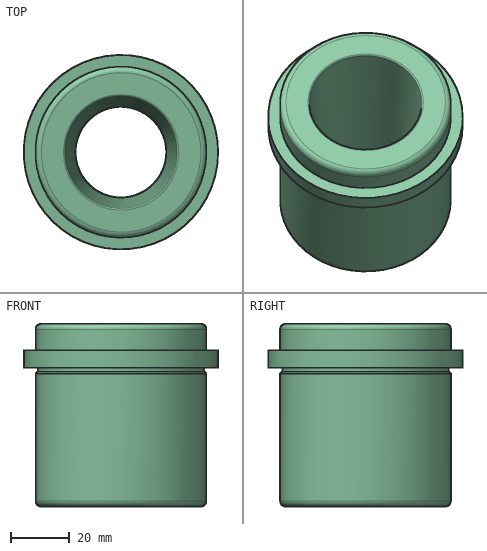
import cadquery as cq

flange_diameter = 66.0
body_diameter = 58.0
height = 62.0
edge_radius = 2.0

flange_thickness = 6.0
collar_height = 9.0

groove_depth = 0.7
groove_width = 1.25
groove_chamfer = 0.7

mouth_diameter = 38.15
throat_diameter = 30.7
mouth_radius = 0.5

flange_top = height - collar_height
flange_bottom = flange_top - flange_thickness
groove_bottom = flange_bottom - groove_width


def cylinder(diameter, bottom, top):
    """Upright cylinder on the Z axis between two heights."""
    return cq.Workplane("XY").workplane(offset=bottom).circle(diameter / 2).extrude(top - bottom)


def make_body():
    """Lower barrel, relief groove, flange and upper collar."""
    barrel = (
        cylinder(body_diameter, 0, groove_bottom)
        .faces("<Z").edges().fillet(edge_radius)
        .faces(">Z").edges().chamfer(groove_chamfer)
    )
    neck = cylinder(body_diameter - 2 * groove_depth, groove_bottom, flange_bottom)
    flange = cylinder(flange_diameter, flange_bottom, flange_top)
    collar = cylinder(body_diameter, flange_top, height).faces(">Z").edges().fillet(edge_radius)
    return barrel.union(neck).union(flange).union(collar)


def make_bore():
    """Through bore narrowing evenly from the top to the bottom."""
    return (
        cq.Workplane("XY")
        .circle(throat_diameter / 2)
        .workplane(offset=height)
        .circle(mouth_diameter / 2)
        .loft(ruled=True)
    )


bored = make_body().cut(make_bore())
result = bored.faces(">Z").edges(cq.selectors.RadiusNthSelector(0)).fillet(mouth_radius)